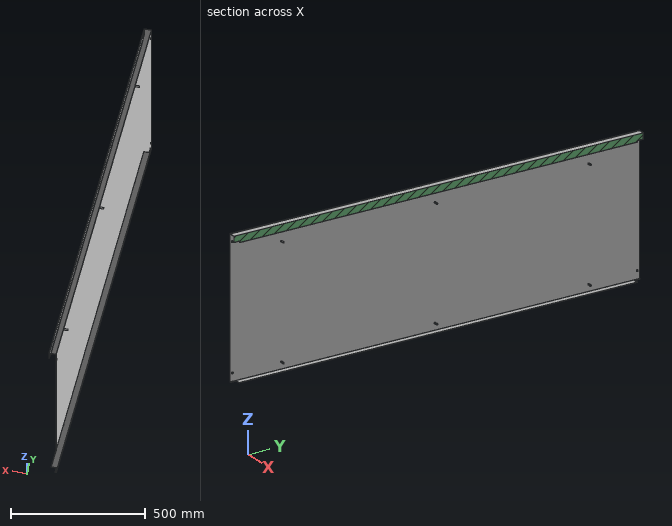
import cadquery as cq

depth = 28.5
length = 1800.0
height = 602.5
sheet = 1.5

lip_height = 33.0
lower_flange_depth = 25.0

relief_length = 25.0
lip_end_height = 27.0
lower_flange_end_depth = 5.0

hole_diameter = 7.0
hole_end_inset = 10.0
hole_edge_inset = 35.0

stud_diameter = 6.0
stud_length = 15.0
stud_pitch = 675.0
lower_stud_height = 30.5
upper_stud_height = 520.0


def folded_section():
    """Web with a hooked top flange and a plain lower flange, folded toward +X."""
    lip_bottom = height - lip_height
    outline = [
        (0, 0),
        (lower_flange_depth, 0),
        (lower_flange_depth, sheet),
        (sheet, sheet),
        (sheet, height - sheet),
        (depth - sheet, height - sheet),
        (depth - sheet, lip_bottom),
        (depth, lip_bottom),
        (depth, height),
        (0, height),
    ]
    return cq.Workplane("XZ").polyline(outline).close().extrude(length / 2, both=True)


def end_reliefs(x_min, x_max, z_min, z_max):
    """Blocks over the last stretch of both panel ends, within the given X and Z limits."""
    return (
        cq.Workplane("XY")
        .pushPoints([(0, -length / 2), (0, length / 2)])
        .box(x_max - x_min, 2 * relief_length, z_max - z_min, centered=(False, True, False))
        .translate((x_min, 0, z_min))
    )


def web_cylinders(columns, rows, diameter, reach):
    """Cylinders along X from the outer face of the web, on a grid of Y columns and Z rows."""
    centres = [(y, z) for y in columns for z in rows]
    return cq.Workplane("YZ").pushPoints(centres).circle(diameter / 2).extrude(reach)


lip_reliefs = end_reliefs(depth - sheet, depth, height - lip_height, height - lip_end_height)
lower_reliefs = end_reliefs(lower_flange_end_depth, lower_flange_depth, 0, sheet)

hole_y = length / 2 - hole_end_inset
hole_rows = (hole_edge_inset, height - hole_edge_inset)
holes = web_cylinders((-hole_y, hole_y), hole_rows, hole_diameter, sheet)

stud_columns = (-stud_pitch, 0, stud_pitch)
stud_rows = (lower_stud_height, upper_stud_height)
studs = web_cylinders(stud_columns, stud_rows, stud_diameter, sheet + stud_length)

panel = folded_section().cut(lip_reliefs).cut(lower_reliefs).cut(holes)
result = panel.union(studs)